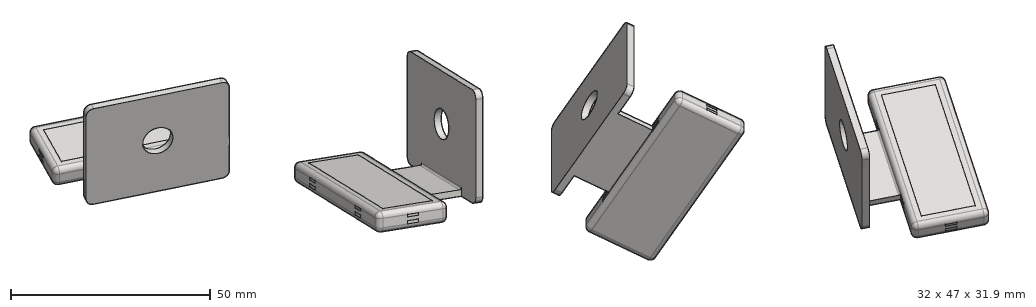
import cadquery as cq
import math

case_length = 20.0
case_width = 47.0
case_height = 5.5
case_radius = 1.5
case_center_x = case_length / 2

arm_reach = 10.0
arm_width = 22.0
arm_thickness = 1.8
arm_fillet = 0.5
arm_bottom = (case_height - arm_thickness) / 2
arm_top = arm_bottom + arm_thickness

plate_thickness = 2.0
plate_width = 38.0
plate_height = 30.0
plate_corner_radius = 2.0
plate_x = case_length + arm_reach
plate_top = arm_bottom + plate_height

hole_diameter = 8.0
hole_z = (arm_top + plate_top) / 2

panel_margin = 3.0
panel_length = case_length - 2 * panel_margin
panel_width = case_width - 2 * panel_margin
tab_width = 3.0
tab_spacing = 25.0
upper_tab_height = 0.65
lower_tab_height = 0.85
insert_bottom = case_radius
upper_tab_bottom = case_height - case_radius - upper_tab_height


def box_on(center_x, center_y, bottom, length, width, height):
    """Box centred in X and Y that stands on the level Z = bottom."""
    return (
        cq.Workplane("XY")
        .box(length, width, height, centered=(True, True, False))
        .translate((center_x, center_y, bottom))
    )


def make_plate():
    plate = (
        box_on(plate_x + plate_thickness / 2, 0, arm_bottom, plate_thickness, plate_width, plate_height)
        .edges("|X")
        .fillet(plate_corner_radius)
    )
    hole = (
        cq.Workplane("YZ", origin=(plate_x, 0, hole_z))
        .circle(hole_diameter / 2)
        .extrude(plate_thickness)
    )
    return plate.cut(hole)


def make_insert():
    insert = box_on(
        case_center_x, 0, insert_bottom, panel_length, panel_width, case_height - insert_bottom
    )
    tab_levels = [(insert_bottom, lower_tab_height), (upper_tab_bottom, upper_tab_height)]
    for bottom, height in tab_levels:
        for side in (-1, 1):
            row_y = side * tab_spacing / 2
            insert = insert.union(box_on(case_center_x, row_y, bottom, case_length, tab_width, height))
        insert = insert.union(box_on(case_center_x, 0, bottom, tab_width, case_width, height))
    return insert


def make_arm():
    """Arm with a concave fillet on each upper end, running into the case so that the two join fully."""
    fillet_center_z = arm_top + arm_fillet
    diagonal = math.sqrt(0.5)

    round_x = case_length - case_radius
    round_z = case_height - case_radius
    center_distance = case_radius + arm_fillet
    rise = fillet_center_z - round_z
    case_fillet_x = round_x + math.sqrt(center_distance**2 - rise**2)
    contact_x = round_x + (case_fillet_x - round_x) * case_radius / center_distance
    contact_z = round_z + rise * case_radius / center_distance

    plate_fillet_x = plate_x - arm_fillet
    diagonal_z = fillet_center_z - arm_fillet * diagonal
    profile = (
        cq.Workplane("XZ")
        .moveTo(case_center_x, arm_bottom)
        .lineTo(plate_x, arm_bottom)
        .lineTo(plate_x, fillet_center_z)
        .threePointArc((plate_fillet_x + arm_fillet * diagonal, diagonal_z), (plate_fillet_x, arm_top))
        .lineTo(case_fillet_x, arm_top)
        .threePointArc((case_fillet_x - arm_fillet * diagonal, diagonal_z), (contact_x, contact_z))
        .lineTo(case_center_x, contact_z)
        .close()
    )
    return profile.extrude(arm_width / 2, both=True)


def make_holder(insert):
    """Case, arm and plate in one piece, with a recess that fits the insert."""
    case = box_on(case_center_x, 0, 0, case_length, case_width, case_height).edges().fillet(case_radius)
    return case.union(make_arm()).union(make_plate()).cut(insert)


insert = make_insert()
holder = make_holder(insert)

result = cq.Compound.makeCompound([holder.solids().val(), insert.solids().val()])